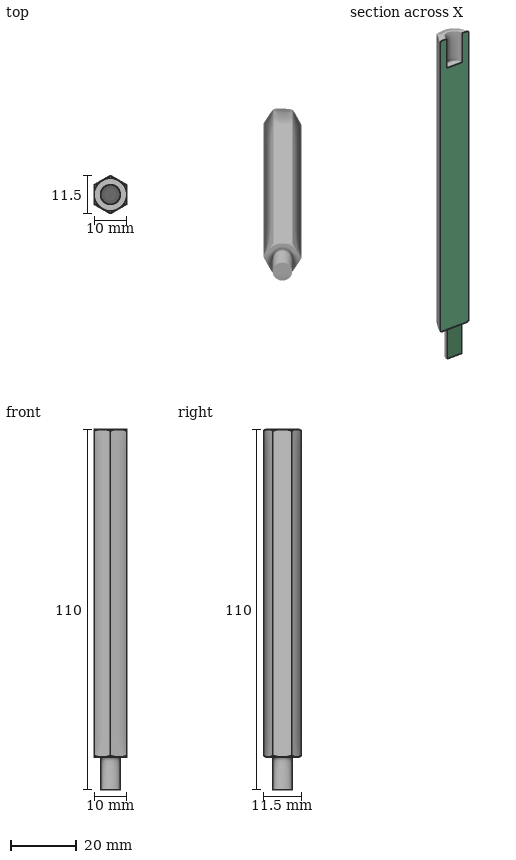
import cadquery as cq
import math

across_flats = 10.0
across_corners = across_flats / math.cos(math.pi / 6)
spacer_length = 100.0

thread_diameter = 6.0
stud_length = 10.0
bore_depth = stud_length

crown_diameter = across_flats
crown_angle = 30.0


def make_crown_envelope():
    """Round bar with coned ends that trims the corners of the hexagon."""
    crown_width = (across_corners - crown_diameter) / 2
    crown_height = crown_width * math.tan(math.radians(crown_angle))
    outline = [
        (0, 0),
        (crown_diameter / 2, 0),
        (across_corners / 2, crown_height),
        (across_corners / 2, spacer_length - crown_height),
        (crown_diameter / 2, spacer_length),
        (0, spacer_length),
    ]
    return cq.Workplane("XZ").polyline(outline).close().revolve(360, (0, 0), (0, 1))


def make_spacer():
    """Hex bar with flats facing +X and -X, crowned ends and a blind bore from the top."""
    hex_bar = (
        cq.Workplane("XY")
        .transformed(rotate=(0, 0, 90))
        .polygon(6, across_corners)
        .extrude(spacer_length)
    )
    bore = (
        cq.Workplane("XY")
        .workplane(offset=spacer_length - bore_depth)
        .circle(thread_diameter / 2)
        .extrude(bore_depth)
    )
    return hex_bar.intersect(make_crown_envelope()).cut(bore)


def make_stud():
    """Plain round stud whose top meets the lower end face of the spacer."""
    return cq.Workplane("XY").circle(thread_diameter / 2).extrude(-stud_length)


spacer = make_spacer()
stud = make_stud()
result = cq.Compound.makeCompound([spacer.val(), stud.val()])